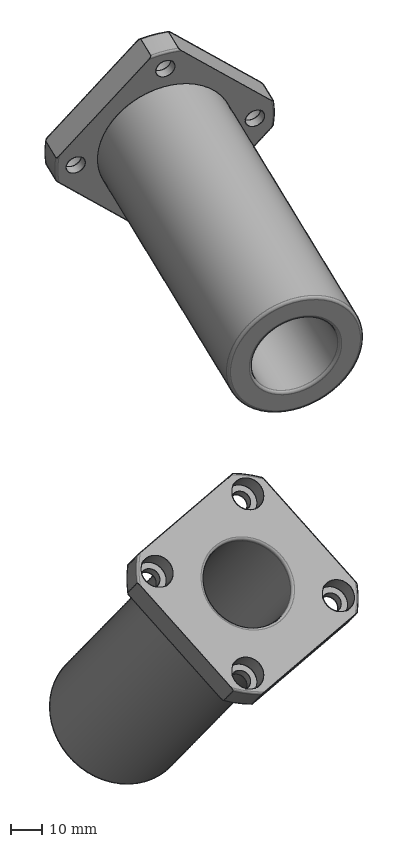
import cadquery as cq

length = 123.0
tube_diameter = 47.0
bore_diameter = 30.0
tube_rounding = 1.0
bore_rounding = 1.0

flange_diameter = 75.9
flange_width = 60.0
flange_thickness = 10.0
flange_rounding = 0.7

hole_count = 4
hole_circle_diameter = 62.0
hole_diameter = 6.6
counterbore_diameter = 11.0
counterbore_depth = 6.5


def make_flange():
    """Square plate cut by a disc with rounded rims."""
    square = (
        cq.Workplane("YZ")
        .transformed(rotate=(0, 0, 45))
        .rect(flange_width, flange_width)
        .extrude(flange_thickness)
    )
    disc = (
        cq.Workplane("YZ")
        .circle(flange_diameter / 2)
        .extrude(flange_thickness)
        .edges("%CIRCLE")
        .fillet(flange_rounding)
    )
    return square.intersect(disc)


def make_tube():
    """Round sleeve with a rounded rim at its free end."""
    return (
        cq.Workplane("YZ")
        .circle(tube_diameter / 2)
        .extrude(length)
        .faces(">X")
        .fillet(tube_rounding)
    )


def make_bore():
    """Through bore, with rounded mouths at both ends."""
    bore_radius = bore_diameter / 2
    mouth_radius = bore_radius + bore_rounding
    return (
        cq.Workplane("XY")
        .moveTo(0, 0)
        .lineTo(0, mouth_radius)
        .radiusArc((bore_rounding, bore_radius), -bore_rounding)
        .lineTo(length - bore_rounding, bore_radius)
        .radiusArc((length, mouth_radius), -bore_rounding)
        .lineTo(length, 0)
        .close()
        .revolve(360, (0, 0), (1, 0))
    )


def hole_positions():
    """Workplane on the flange face with a point at each mounting hole."""
    return cq.Workplane("YZ").polarArray(hole_circle_diameter / 2, 0, 360, hole_count)


def make_mounting_holes():
    """Through holes with counterbores opening on the flange face."""
    holes = hole_positions().circle(hole_diameter / 2).extrude(flange_thickness)
    counterbores = hole_positions().circle(counterbore_diameter / 2).extrude(counterbore_depth)
    return holes.union(counterbores)


result = make_flange().union(make_tube()).cut(make_bore()).cut(make_mounting_holes())